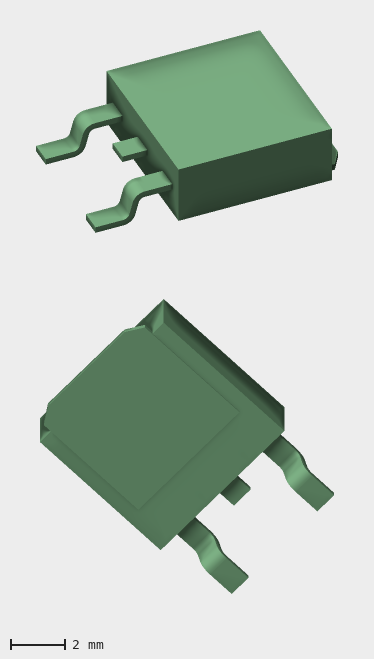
import cadquery as cq
import math

overall_length = 10.11
overall_height = 2.44

tab_width = 5.4
tab_thickness = 0.26
tab_overhang = 0.8
tab_covered_length = 4.48
tab_corner_x = 0.66
tab_corner_y = 0.41
tab_standoff = 0.05

lead_reach = 3.1
lead_width = 0.89
lead_thickness = 0.25
lead_pitch = 2.28
lead_top_height = 1.31
short_lead_length = 1.01
shoulder_length = 1.11
bend_inner_radius = 0.25
bend_angle = 75.0

housing_width = 6.6
housing_length = overall_length - tab_overhang - lead_reach
housing_bottom = tab_standoff
housing_height = overall_height - tab_standoff
housing_back = overall_length / 2 - tab_overhang
housing_front = housing_back - housing_length

marker_diameter = 0.33
marker_depth = 0.1
marker_x = -lead_pitch
marker_y = housing_front + 1.06

lead_top = housing_bottom + lead_top_height
lead_tip = housing_front - lead_reach


def make_tab():
    """Flat plate with two clipped corners at its free end."""
    length = tab_overhang + tab_covered_length
    half_width = tab_width / 2
    back = overall_length / 2
    front = back - length
    return (
        cq.Workplane("XY")
        .moveTo(-half_width, front)
        .lineTo(half_width, front)
        .lineTo(half_width, back - tab_corner_y)
        .lineTo(half_width - tab_corner_x, back)
        .lineTo(-half_width + tab_corner_x, back)
        .lineTo(-half_width, back - tab_corner_y)
        .close()
        .extrude(tab_thickness)
    )


def make_marker():
    """Small disc filling the recess in the housing top."""
    return (
        cq.Workplane("XY", origin=(marker_x, marker_y, overall_height - marker_depth))
        .circle(marker_diameter / 2)
        .extrude(marker_depth)
    )


def make_housing(tab, marker):
    """Plain block with matching recesses for the tab and the marker."""
    block = cq.Workplane("XY").box(
        housing_width, housing_length, housing_height, centered=(True, False, False)
    )
    block = block.translate((0, housing_front, housing_bottom))
    return block.cut(tab).cut(marker)


def make_short_lead():
    """Cropped straight centre lead."""
    lead = cq.Workplane("XY").box(
        lead_width, short_lead_length, lead_thickness, centered=(True, False, False)
    )
    return lead.translate((0, housing_front - short_lead_length, lead_top - lead_thickness))


def make_formed_lead(center_x):
    """S-bent strip: shoulder, downward bend, sloping leg, upward bend and foot."""
    angle = math.radians(bend_angle)
    sin_a = math.sin(angle)
    cos_a = math.cos(angle)
    outer_radius = bend_inner_radius + lead_thickness
    radius_sum = bend_inner_radius + outer_radius

    drop = lead_top_height - lead_thickness
    leg_length = (drop - radius_sum * (1 - cos_a)) / sin_a
    bend_run = radius_sum * sin_a + leg_length * cos_a

    upper_y = housing_front - shoulder_length
    upper_z = lead_top - outer_radius
    lower_y = upper_y - bend_run
    lower_z = housing_bottom + outer_radius

    def upper_point(radius, turn):
        return (upper_y - radius * math.sin(turn), upper_z + radius * math.cos(turn))

    def lower_point(radius, turn):
        return (lower_y + radius * math.sin(turn), lower_z - radius * math.cos(turn))

    profile = (
        cq.Workplane("YZ", origin=(center_x, 0, 0))
        .moveTo(housing_front, lead_top)
        .lineTo(*upper_point(outer_radius, 0))
        .threePointArc(upper_point(outer_radius, angle / 2), upper_point(outer_radius, angle))
        .lineTo(*lower_point(bend_inner_radius, angle))
        .threePointArc(lower_point(bend_inner_radius, angle / 2), lower_point(bend_inner_radius, 0))
        .lineTo(lead_tip, housing_bottom + lead_thickness)
        .lineTo(lead_tip, housing_bottom)
        .lineTo(*lower_point(outer_radius, 0))
        .threePointArc(lower_point(outer_radius, angle / 2), lower_point(outer_radius, angle))
        .lineTo(*upper_point(bend_inner_radius, angle))
        .threePointArc(upper_point(bend_inner_radius, angle / 2), upper_point(bend_inner_radius, 0))
        .lineTo(housing_front, lead_top - lead_thickness)
        .close()
    )
    return profile.extrude(lead_width / 2, both=True)


tab = make_tab()
marker = make_marker()
housing = make_housing(tab, marker)
short_lead = make_short_lead()
formed_leads = [make_formed_lead(side * lead_pitch) for side in (-1, 1)]

result = cq.Compound.makeCompound(
    [
        housing.val(),
        tab.val(),
        marker.val(),
        short_lead.val(),
        *[lead.val() for lead in formed_leads],
    ]
)